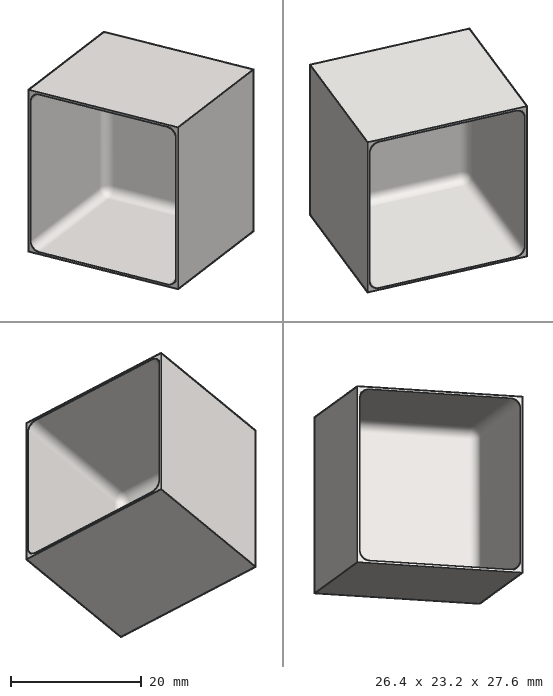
import cadquery as cq

width = 26.36
depth = 23.24
height = 27.58

wall = 0.381
corner_radius = 1.524

cavity_width = width - 2 * wall
cavity_depth = depth - wall
cavity_height = height - 2 * wall


def make_cavity():
    """Pocket with rounded edges along its depth and around its +Y floor."""
    block = cq.Workplane("XY").box(cavity_width, cavity_depth, cavity_height)
    rounded = block.edges("|Y or >Y").fillet(corner_radius)
    return rounded.translate((0, -wall / 2, 0))


body = cq.Workplane("XY").box(width, depth, height)
result = body.cut(make_cavity())